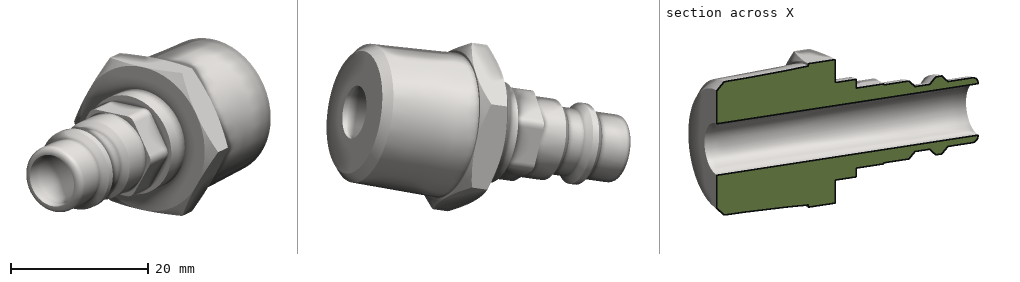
import cadquery as cq
import math


bore_diameter = 7.8
tip_diameter = 10.0
tip_rounding = 1.0
plug_diameter = 12.0
ring_start = 5.0
ring_width = 1.0
groove_end = 11.4
plug_end = 15.5

small_hex_flats = 12.3
small_hex_rounding = 1.5
small_hex_end = 20.0

shoulder_diameter = 15.0
shoulder_end = 23.5

large_hex_flats = 22.0
large_hex_end = 28.0
hex_bevel_angle = 30.0

overall_length = 43.0
gauge_position = 33.75
gauge_diameter = 20.955
thread_taper = 1 / 16
end_bevel = 1.2


def revolve_about_y(sketch):
    """Turn a closed (radius, position) outline about the Y axis."""
    return sketch.close().revolve(360, (0, 0, 0), (0, 1, 0))


def cylinder(diameter, start, end):
    """Round bar along Y."""
    outline = cq.Workplane("XY").moveTo(0, start).lineTo(diameter / 2, start)
    return revolve_about_y(outline.lineTo(diameter / 2, end).lineTo(0, end))


def hexagon(flats, start, end):
    """Hexagonal bar along Y with two corners on the X direction."""
    corners = flats / math.cos(math.pi / 6)
    section = cq.Workplane("XZ", origin=(0, start, 0)).polygon(6, corners)
    return section.extrude(start - end)


def thread_radius(position):
    """Radius of the thread cone at a position along the axis."""
    return (gauge_diameter - (position - gauge_position) * thread_taper) / 2


def make_plug():
    """Round-nosed plug with a bevelled ring and the locking groove behind it."""
    tip_radius = tip_diameter / 2
    plug_radius = plug_diameter / 2
    bevel = plug_radius - tip_radius
    ring_flat = ring_start + bevel
    ring_flat_end = ring_flat + ring_width
    arc_inset = tip_rounding * (1 - math.cos(math.pi / 4))
    outline = (
        cq.Workplane("XY")
        .lineTo(tip_radius - tip_rounding, 0)
        .threePointArc((tip_radius - arc_inset, arc_inset), (tip_radius, tip_rounding))
        .lineTo(tip_radius, ring_start)
        .lineTo(plug_radius, ring_flat)
        .lineTo(plug_radius, ring_flat_end)
        .lineTo(tip_radius, ring_flat_end + bevel)
        .lineTo(tip_radius, groove_end - bevel)
        .lineTo(plug_radius, groove_end)
        .lineTo(plug_radius, plug_end)
        .lineTo(0, plug_end)
    )
    return revolve_about_y(outline)


def make_small_hex():
    """Hexagon with its long edges rounded."""
    return hexagon(small_hex_flats, plug_end, small_hex_end).edges("|Y").fillet(small_hex_rounding)


def make_large_hex():
    """Hexagon with its corners bevelled from both faces."""
    face_radius = large_hex_flats / 2
    corner_radius = face_radius / math.cos(math.pi / 6)
    bevel_length = (corner_radius - face_radius) * math.tan(math.radians(hex_bevel_angle))
    envelope = (
        cq.Workplane("XY")
        .moveTo(0, shoulder_end)
        .lineTo(face_radius, shoulder_end)
        .lineTo(corner_radius, shoulder_end + bevel_length)
        .lineTo(corner_radius, large_hex_end - bevel_length)
        .lineTo(face_radius, large_hex_end)
        .lineTo(0, large_hex_end)
    )
    return hexagon(large_hex_flats, shoulder_end, large_hex_end).intersect(revolve_about_y(envelope))


def make_thread():
    """Tapered thread envelope with a 45 degree bevel at its end."""
    bevel_start = overall_length - end_bevel
    outline = (
        cq.Workplane("XY")
        .moveTo(0, large_hex_end)
        .lineTo(thread_radius(large_hex_end), large_hex_end)
        .lineTo(thread_radius(bevel_start), bevel_start)
        .lineTo(thread_radius(bevel_start) - end_bevel, overall_length)
        .lineTo(0, overall_length)
    )
    return revolve_about_y(outline)


shoulder = cylinder(shoulder_diameter, small_hex_end, shoulder_end)
bore = cylinder(bore_diameter, 0, overall_length)

result = make_plug().union(make_small_hex()).union(shoulder)
result = result.union(make_large_hex()).union(make_thread()).cut(bore)